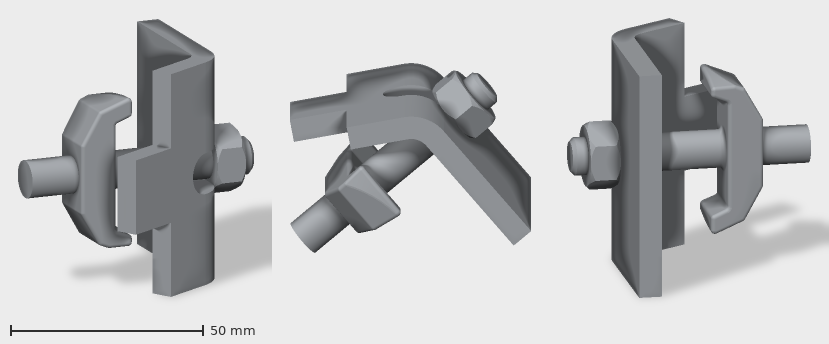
import cadquery as cq
import math


PLATE_HEIGHT = 60.0
PLATE_THICKNESS = 6.0
FLAT_LEFT = -31.7
BEND_START = 3.4
BEND_ANGLE = 60.0
BEND_OUTER_RADIUS = 11.1
BEND_INNER_RADIUS = BEND_OUTER_RADIUS - PLATE_THICKNESS
LEG_LENGTH = 15.05
TAB_LENGTH = 15.05
TAB_HEIGHT = 20.05
SLOT_WIDTH = 11.0

SHANK_DIAMETER = 10.0
SHANK_BACK = 12.0
SHANK_LENGTH = 63.0
SHANK_CHAMFER = 1.0

HEAD_PAD_Y = -24.0
HEAD_WEB_Y = -28.5
HEAD_SHOULDER_Y = -32.95
HEAD_FRONT_Y = -38.0
HEAD_FRONT_Z = 9.15
HEAD_SHOULDER_Z = 17.95
HEAD_TIP_Z = 21.5
HOOK_INNER_Z = 16.1
HOOK_ROOT_Z = 14.3
HEAD_PAD_HALF_WIDTH = 8.1
HEAD_FRONT_HALF_WIDTH = 7.05
HEAD_FILLET = 1.0
END_ROUND_RADIUS = 56.7
END_ROUND_TOP_Z = 21.0

NUT_ACROSS_FLATS = 16.0
NUT_HEIGHT = 8.0
NUT_TURN = 30.0


def on_bend(radius, degrees):
    """XY point on the bend, at an angle measured from the end of the flat part."""
    turn = math.radians(degrees)
    return BEND_START + radius * math.sin(turn), radius * math.cos(turn) - BEND_OUTER_RADIUS


def bent_strip(leg_length, height):
    """Bent strip, symmetric about Z = 0, with a leg of the given length."""
    angle = math.radians(BEND_ANGLE)
    leg_x = leg_length * math.cos(angle)
    leg_y = -leg_length * math.sin(angle)
    return (
        cq.Workplane("XY")
        .moveTo(FLAT_LEFT, 0)
        .lineTo(BEND_START, 0)
        .threePointArc(on_bend(BEND_OUTER_RADIUS, BEND_ANGLE / 2), on_bend(BEND_OUTER_RADIUS, BEND_ANGLE))
        .line(leg_x, leg_y)
        .line(-PLATE_THICKNESS * math.sin(angle), -PLATE_THICKNESS * math.cos(angle))
        .line(-leg_x, -leg_y)
        .threePointArc(on_bend(BEND_INNER_RADIUS, BEND_ANGLE / 2), on_bend(BEND_INNER_RADIUS, 0))
        .lineTo(FLAT_LEFT, -PLATE_THICKNESS)
        .close()
        .extrude(height / 2, both=True)
    )


def cut_bent_slot(plate):
    """Slot that follows the bend, with one round end at the bolt axis and one where the leg begins."""
    angle = math.radians(BEND_ANGLE)
    round_ends = [
        ((0, -PLATE_THICKNESS), (0, 1)),
        (on_bend(BEND_INNER_RADIUS, BEND_ANGLE), (math.sin(angle), math.cos(angle))),
    ]
    for base, direction in round_ends:
        cutter = cq.Solid.makeCylinder(
            SLOT_WIDTH / 2, PLATE_THICKNESS, cq.Vector(*base, 0), cq.Vector(*direction, 0)
        )
        plate = plate.cut(cq.Workplane(cutter))

    middle = (
        cq.Workplane("XY")
        .polyline([
            (0, 0),
            (BEND_START + BEND_OUTER_RADIUS * math.tan(angle), 0),
            (BEND_START, -BEND_OUTER_RADIUS),
            (0, -BEND_OUTER_RADIUS),
        ])
        .close()
        .extrude(SLOT_WIDTH / 2, both=True)
    )
    return plate.cut(middle)


def make_plate():
    full_height = bent_strip(LEG_LENGTH, PLATE_HEIGHT)
    tab = bent_strip(LEG_LENGTH + TAB_LENGTH, TAB_HEIGHT)
    return cut_bent_slot(full_height.union(tab))


def make_head():
    upper = [
        (HEAD_FRONT_Y, HEAD_FRONT_Z),
        (HEAD_SHOULDER_Y, HEAD_SHOULDER_Z),
        (HEAD_PAD_Y, HEAD_TIP_Z),
        (HEAD_PAD_Y, HOOK_INNER_Z),
        (HEAD_WEB_Y, HOOK_ROOT_Z),
    ]
    lower = [(y, -z) for y, z in reversed(upper)]
    bar = cq.Workplane("YZ").polyline(upper + lower).close().extrude(HEAD_PAD_HALF_WIDTH, both=True)

    taper = (
        cq.Workplane("XY")
        .polyline([
            (-HEAD_PAD_HALF_WIDTH, HEAD_PAD_Y),
            (HEAD_PAD_HALF_WIDTH, HEAD_PAD_Y),
            (HEAD_FRONT_HALF_WIDTH, HEAD_FRONT_Y),
            (-HEAD_FRONT_HALF_WIDTH, HEAD_FRONT_Y),
        ])
        .close()
        .extrude(HEAD_TIP_Z, both=True)
    )
    head = bar.intersect(taper)

    for side in (1, -1):
        envelope = (
            cq.Workplane("XZ", origin=(0, HEAD_PAD_Y, 0))
            .center(side * HEAD_PAD_HALF_WIDTH, side * (END_ROUND_TOP_Z - END_ROUND_RADIUS))
            .circle(END_ROUND_RADIUS)
            .extrude(HEAD_PAD_Y - HEAD_FRONT_Y)
        )
        head = head.intersect(envelope)
    return head.edges().fillet(HEAD_FILLET)


def make_bolt():
    shank = (
        cq.Workplane("XZ", origin=(0, SHANK_BACK, 0))
        .circle(SHANK_DIAMETER / 2)
        .extrude(SHANK_LENGTH)
        .faces(">Y")
        .chamfer(SHANK_CHAMFER)
    )
    bolt = shank.union(make_head())
    joint = bolt.edges("%CIRCLE").edges(cq.selectors.NearestToPointSelector((0, HEAD_WEB_Y, 0)))
    return joint.fillet(HEAD_FILLET)


def make_nut():
    corner_radius = NUT_ACROSS_FLATS / math.sqrt(3)
    chamfer = corner_radius - NUT_ACROSS_FLATS / 2
    blank = (
        cq.Workplane("XZ")
        .polygon(6, 2 * corner_radius)
        .extrude(-NUT_HEIGHT)
        .rotate((0, 0, 0), (0, 1, 0), NUT_TURN)
    )
    turned = cq.Workplane("XZ").circle(corner_radius).extrude(-NUT_HEIGHT).faces("<Y or >Y").chamfer(chamfer)
    bore = cq.Workplane("XZ").circle(SHANK_DIAMETER / 2).extrude(-NUT_HEIGHT)
    return blank.intersect(turned).cut(bore)


plate = make_plate()
bolt = make_bolt()
nut = make_nut()
result = cq.Compound.makeCompound([body.solids().val() for body in (plate, bolt, nut)])